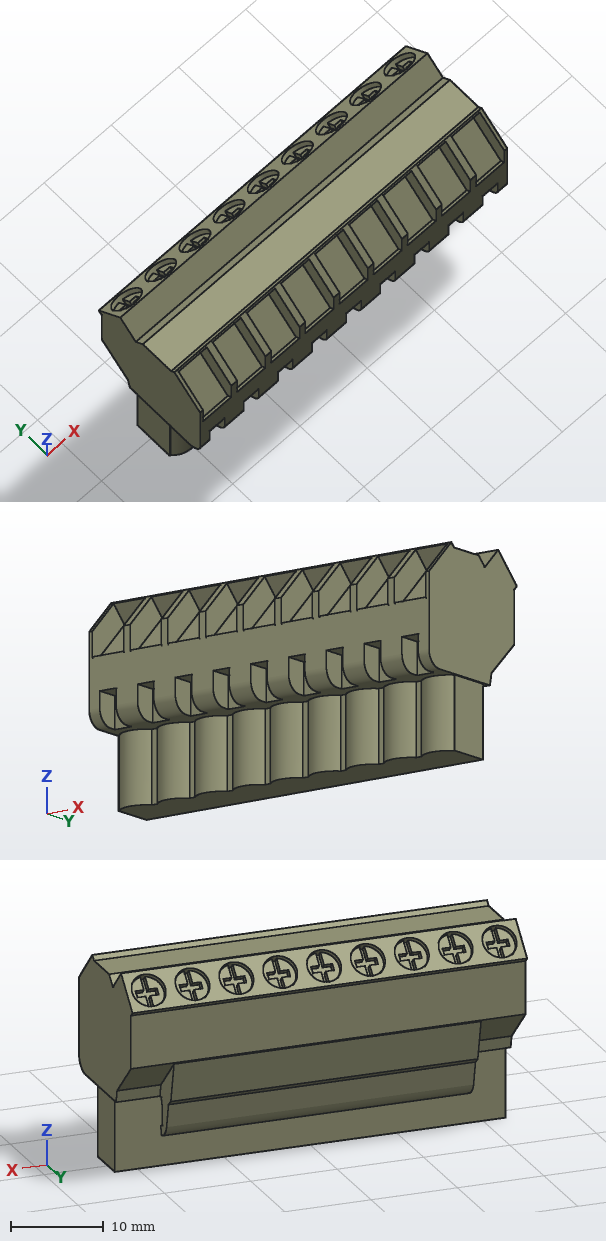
import cadquery as cq
import math

POLES = 9
HOUSING_LENGTH = 45.7
PITCH = HOUSING_LENGTH / POLES
POLE_CENTRES = [(i + 0.5) * PITCH for i in range(POLES)]

HOUSING_BASE_Z = 8.4
HOUSING_BACK_Y = 15.4
TOP_Z = 23.77
DECK_Z = 22.45
DECK_FRONT_Y = 4.53
RIM_RISE = 0.5
VALLEY_DROP = 1.1
VALLEY_Y = 10.05
BACK_RIM_Y = 15.85
BACK_CHAMFER_TOP_Z = 13.8
BACK_CORNER_Y = 11.3
BACK_CORNER_Z = 9.85
BASE_BACK_Y = 11.0
FRONT_FILLET = 1.87

RIM_Y = DECK_FRONT_Y - RIM_RISE
RIM_Z = DECK_Z + RIM_RISE
VALLEY_Z = DECK_Z - VALLEY_DROP
RIDGE_Y = VALLEY_Y + TOP_Z - VALLEY_Z
BACK_RIM_Z = TOP_Z - (BACK_RIM_Y - RIDGE_Y)

ENTRY_WIDTH = 4.2
ENTRY_TOP_Y = 3.85
ENTRY_FLOOR_Y = 0.55
ENTRY_DEPTH_STEP = 1.95

SLOT_WIDTH = 2.2
SLOT_TOP_Z = 12.15
SLOT_DEPTH = 2.75

PLUG_BACK_Y = 10.05
PLUG_FLAT_Y = 5.0
PLUG_FRONT_Y = 4.02
PLUG_END_INSET = 0.25
BARREL_WIDTH = 4.4

LATCH_INSET = PITCH
LATCH_LENGTH = HOUSING_LENGTH - 2 * LATCH_INSET
LATCH_ROOT = (15.2, 13.6)
LATCH_SHOULDER = (14.2, 8.9)
LATCH_NECK = (13.55, 8.3)
LATCH_TIP_START = (13.0, 5.55)
LATCH_TIP_BULGE = (12.5, 4.6)
LATCH_TIP_END = (11.8, 4.1)
HOOK_BOTTOM = (11.4, 4.1)
HOOK_NOSE = (11.3, 5.07)
LATCH_INNER_Y = 11.7
HOOK_TOP_Z = 5.3
LATCH_FLARE_Z = 7.4
LATCH_FLARE_Y = 11.4

SCREW_DIAMETER = 3.85
SCREW_RECESS = 0.65
SCREW_LENGTH = 1.85
LONG_SLOT_WIDTH = 0.55
CROSS_SLOT_LENGTH = 2.45
CROSS_SLOT_WIDTH = 0.8
DRIVE_DEPTH = 0.7
SCREW_FACE_Y = (RIDGE_Y + BACK_RIM_Y) / 2
SCREW_FACE_Z = (TOP_Z + BACK_RIM_Z) / 2


def section_at(x):
    """Sketch plane in Y and Z, extruding toward +X."""
    return cq.Workplane("YZ", origin=(x, 0, 0))


def screw_plane(x, depth):
    """Plane square to a screw axis, at a depth below the back slope; local x is X."""
    step = depth * math.sqrt(0.5)
    origin = (x, SCREW_FACE_Y - step, SCREW_FACE_Z - step)
    return cq.Workplane(cq.Plane(origin=origin, xDir=(1, 0, 0), normal=(0, 1, 1)))


def housing_shell():
    profile = [
        (0, HOUSING_BASE_Z),
        (0, RIM_Z - RIM_Y),
        (RIM_Y, RIM_Z),
        (DECK_FRONT_Y, DECK_Z),
        (VALLEY_Y - VALLEY_DROP, DECK_Z),
        (VALLEY_Y, VALLEY_Z),
        (RIDGE_Y, TOP_Z),
        (BACK_RIM_Y, BACK_RIM_Z),
        (HOUSING_BACK_Y, BACK_RIM_Z - (BACK_RIM_Y - HOUSING_BACK_Y)),
        (HOUSING_BACK_Y, BACK_CHAMFER_TOP_Z),
        (BACK_CORNER_Y, BACK_CORNER_Z),
        (BASE_BACK_Y, HOUSING_BASE_Z),
    ]
    shell = section_at(0).polyline(profile).close().extrude(HOUSING_LENGTH)
    front_edge = cq.selectors.NearestToPointSelector((HOUSING_LENGTH / 2, 0, HOUSING_BASE_Z))
    return shell.edges(front_edge).fillet(FRONT_FILLET)


def entry_pocket(x):
    slope_rise = RIM_Z - RIM_Y
    top_z = slope_rise + ENTRY_TOP_Y
    floor_y = ENTRY_TOP_Y + ENTRY_DEPTH_STEP
    floor_z = top_z - ENTRY_DEPTH_STEP
    low_z = floor_z - (floor_y - ENTRY_FLOOR_Y)
    profile = [
        (ENTRY_TOP_Y, top_z),
        (floor_y, floor_z),
        (ENTRY_FLOOR_Y, low_z),
        (0, low_z + ENTRY_FLOOR_Y),
        (0, slope_rise),
    ]
    return section_at(x - ENTRY_WIDTH / 2).polyline(profile).close().extrude(ENTRY_WIDTH)


def front_slot(x):
    height = SLOT_TOP_Z - HOUSING_BASE_Z
    box = cq.Workplane().box(SLOT_WIDTH, SLOT_DEPTH, height, centered=(True, False, False))
    return box.translate((x, 0, HOUSING_BASE_Z))


def plug():
    left = PLUG_END_INSET
    right = HOUSING_LENGTH - PLUG_END_INSET
    outline = cq.Workplane().moveTo(left, PLUG_BACK_Y).lineTo(left, PLUG_FLAT_Y)
    for x in POLE_CENTRES:
        outline = outline.lineTo(x - BARREL_WIDTH / 2, PLUG_FLAT_Y)
        outline = outline.threePointArc((x, PLUG_FRONT_Y), (x + BARREL_WIDTH / 2, PLUG_FLAT_Y))
    outline = outline.lineTo(right, PLUG_FLAT_Y).lineTo(right, PLUG_BACK_Y).close()
    return outline.extrude(HOUSING_BASE_Z)


def latch():
    outline = (
        section_at(LATCH_INSET)
        .moveTo(*LATCH_ROOT)
        .lineTo(*LATCH_SHOULDER)
        .lineTo(*LATCH_NECK)
        .lineTo(*LATCH_TIP_START)
        .threePointArc(LATCH_TIP_BULGE, LATCH_TIP_END)
        .lineTo(*HOOK_BOTTOM)
        .lineTo(*HOOK_NOSE)
        .lineTo(LATCH_INNER_Y, HOOK_TOP_Z)
        .lineTo(LATCH_INNER_Y, LATCH_FLARE_Z)
        .lineTo(LATCH_FLARE_Y, HOUSING_BASE_Z)
        .lineTo(BASE_BACK_Y, HOUSING_BASE_Z)
        .lineTo(BACK_CORNER_Y, BACK_CORNER_Z)
        .close()
    )
    return outline.extrude(LATCH_LENGTH)


def screw_hole(x):
    return screw_plane(x, 0).circle(SCREW_DIAMETER / 2).extrude(-SCREW_RECESS - SCREW_LENGTH)


def screw(x):
    head = screw_plane(x, SCREW_RECESS)
    body = head.circle(SCREW_DIAMETER / 2).extrude(-SCREW_LENGTH)
    long_slot = head.rect(LONG_SLOT_WIDTH, SCREW_DIAMETER).extrude(-DRIVE_DEPTH)
    cross_slot = head.rect(CROSS_SLOT_LENGTH, CROSS_SLOT_WIDTH).extrude(-DRIVE_DEPTH)
    return body.cut(long_slot).cut(cross_slot)


housing = housing_shell().union(plug()).union(latch())
for pole_x in POLE_CENTRES:
    housing = housing.cut(entry_pocket(pole_x)).cut(front_slot(pole_x)).cut(screw_hole(pole_x))

screws = [screw(pole_x) for pole_x in POLE_CENTRES]

result = cq.Compound.makeCompound([housing.val(), *[body.val() for body in screws]])